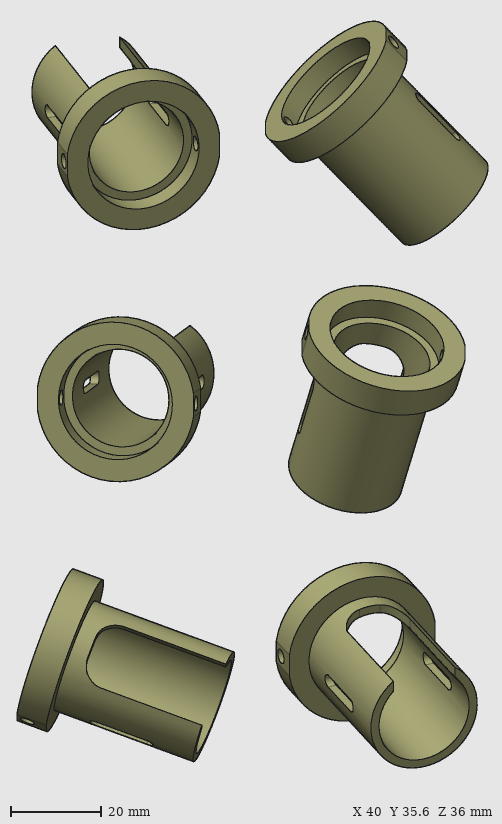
import cadquery as cq

total_length = 40.0
flange_length = 7.0
flange_diameter = 36.0
flats_width = 35.6
sleeve_diameter = 26.0
bore_diameter = 22.0
counterbore_diameter = 26.0
counterbore_depth = 5.0

window_length = 29.0
window_width = 15.0
window_corner_radius = 5.0

slot_length = 15.0
slot_width = 3.0
slot_center_x = 17.0

cross_hole_diameter = 3.3
cross_hole_end_distance = 2.5


def cylinder_along_x(start_x, length, diameter):
    return cq.Workplane("YZ", origin=(start_x, 0, 0)).circle(diameter / 2).extrude(length)


def make_flange():
    """Disc with a flat on each side, facing -Y and +Y."""
    start_x = total_length - flange_length
    disc = cylinder_along_x(start_x, flange_length, flange_diameter)
    between_flats = cq.Workplane("XY").box(
        flange_length, flats_width, flange_diameter, centered=(False, True, True)
    ).translate((start_x, 0, 0))
    return disc.intersect(between_flats)


def make_window():
    """Cutter for the upper wall, with rounded corners at its closed end."""
    return (
        cq.Workplane("XY")
        .box(window_length, window_width, sleeve_diameter, centered=(False, True, False))
        .edges("|Z and >X")
        .fillet(window_corner_radius)
    )


def make_side_slots():
    return (
        cq.Workplane("XZ")
        .center(slot_center_x, 0)
        .slot2D(slot_length, slot_width)
        .extrude(flange_diameter, both=True)
    )


def make_cross_hole():
    return (
        cq.Workplane("XZ")
        .center(total_length - cross_hole_end_distance, 0)
        .circle(cross_hole_diameter / 2)
        .extrude(flange_diameter, both=True)
    )


sleeve = cylinder_along_x(0, total_length, sleeve_diameter)
bore = cylinder_along_x(0, total_length, bore_diameter)
counterbore = cylinder_along_x(total_length - counterbore_depth, counterbore_depth, counterbore_diameter)

result = (
    sleeve.union(make_flange())
    .cut(bore)
    .cut(counterbore)
    .cut(make_window())
    .cut(make_side_slots())
    .cut(make_cross_hole())
)